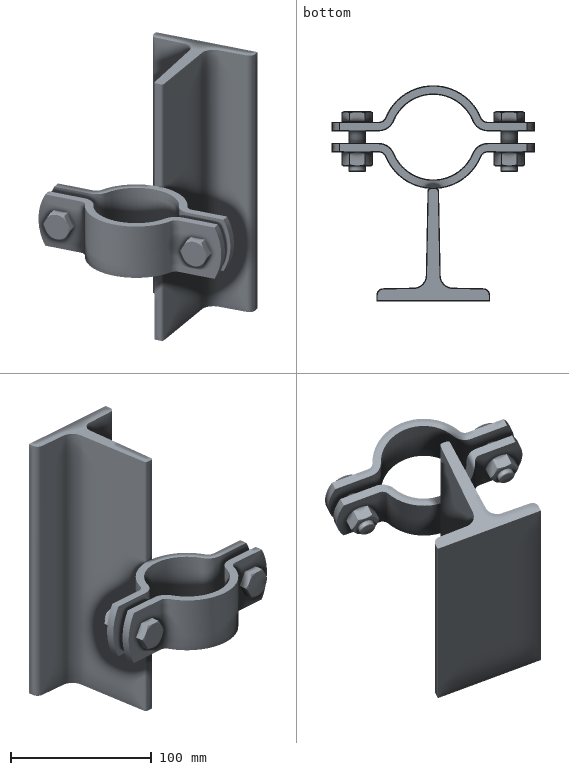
import cadquery as cq
import math

POST_LENGTH = 200.0
POST_WIDTH = 80.0
POST_DEPTH = 80.0
POST_THICKNESS = 9.0
WEB_EMBED = 0.05
POST_TAPER = 0.02
ROOT_RADIUS = 9.0
TOE_RADIUS = ROOT_RADIUS / 2
WEB_TIP_RADIUS = 2.0

STRAP_THICKNESS = 6.0
STRAP_HEIGHT = 40.0
STRAP_HALF_LENGTH = 72.0
STRAP_END_RADIUS = 40.0
CLAMP_GAP = 9.0
CLAMP_OUTER_DIAMETER = 73.0
BEND_DIAMETER = 11.0

BOLT_X = 54.0
BOLT_DIAMETER = 12.0
BOLT_TIP_DIAMETER = 11.0
BOLT_LENGTH = 35.0
HEX_ACROSS_FLATS = 19.0
HEAD_HEIGHT = 7.5
NUT_HEIGHT = 10.0
WASHER_FACE_DIAMETER = 17.2
WASHER_FACE_HEIGHT = 0.5
HEX_CHAMFER_ANGLE = 30.0
HEX_HALF_SECTOR = 30.0

clamp_outer_radius = CLAMP_OUTER_DIAMETER / 2
bend_radius = BEND_DIAMETER / 2
ear_inner_y = CLAMP_GAP / 2
ear_outer_y = ear_inner_y + STRAP_THICKNESS
clamp_inner_radius = clamp_outer_radius - STRAP_THICKNESS
web_tip_y = clamp_outer_radius - WEB_EMBED
post_back_y = clamp_outer_radius + POST_DEPTH


def make_post():
    """Tapered T-section with rounded root, toes and web tip."""
    half_width = POST_WIDTH / 2
    half_web = POST_THICKNESS / 2
    web_tip_x = half_web - POST_TAPER * POST_DEPTH / 2
    toe_y = post_back_y - POST_THICKNESS + POST_TAPER * POST_WIDTH / 4
    root_rise = toe_y - POST_TAPER * half_width - web_tip_y
    root_x = (web_tip_x + POST_TAPER * root_rise) / (1 - POST_TAPER**2)
    root_y = toe_y - POST_TAPER * (half_width - root_x)

    post = (
        cq.Workplane("XY")
        .moveTo(-half_width, post_back_y)
        .lineTo(half_width, post_back_y)
        .lineTo(half_width, toe_y)
        .lineTo(root_x, root_y)
        .lineTo(web_tip_x, web_tip_y)
        .lineTo(-web_tip_x, web_tip_y)
        .lineTo(-root_x, root_y)
        .lineTo(-half_width, toe_y)
        .close()
        .extrude(POST_LENGTH / 2, both=True)
    )
    rounded_edges = [
        (root_x, root_y, ROOT_RADIUS),
        (half_width, toe_y, TOE_RADIUS),
        (web_tip_x, web_tip_y, WEB_TIP_RADIUS),
    ]
    for x, y, radius in rounded_edges:
        for side in (-1, 1):
            edge = cq.selectors.NearestToPointSelector((side * x, y, 0))
            post = post.edges("|Z").edges(edge).fillet(radius)
    return post


def polar(center, radius, angle):
    """Point at a radius and angle (radians) around a center."""
    return center[0] + radius * math.cos(angle), center[1] + radius * math.sin(angle)


def make_strap():
    """The +Y half of the clamp: a half ring with two bent ears."""
    ring_center = (0, 0)
    bend_outer_radius = bend_radius + STRAP_THICKNESS
    bend_y = ear_outer_y + bend_radius
    bend_x = math.sqrt((clamp_outer_radius + bend_radius) ** 2 - bend_y**2)
    bend_center = (bend_x, bend_y)
    top = math.pi / 2
    ring_end = math.atan2(bend_y, bend_x)
    ring_middle = (ring_end + top) / 2
    bend_start = -math.pi / 2
    bend_end = ring_end - math.pi
    bend_middle = (bend_start + bend_end) / 2

    half = (
        cq.Workplane("XY")
        .moveTo(*polar(ring_center, clamp_outer_radius, top))
        .threePointArc(
            polar(ring_center, clamp_outer_radius, ring_middle),
            polar(ring_center, clamp_outer_radius, ring_end),
        )
        .threePointArc(
            polar(bend_center, bend_radius, bend_middle),
            polar(bend_center, bend_radius, bend_start),
        )
        .lineTo(STRAP_HALF_LENGTH, ear_outer_y)
        .lineTo(STRAP_HALF_LENGTH, ear_inner_y)
        .lineTo(bend_x, ear_inner_y)
        .threePointArc(
            polar(bend_center, bend_outer_radius, bend_middle),
            polar(bend_center, bend_outer_radius, bend_end),
        )
        .threePointArc(
            polar(ring_center, clamp_inner_radius, ring_middle),
            polar(ring_center, clamp_inner_radius, top),
        )
        .close()
        .extrude(STRAP_HEIGHT / 2, both=True)
    )
    strap = half.union(half.mirror("YZ")).clean()

    half_height = STRAP_HEIGHT / 2
    end_sag = STRAP_END_RADIUS - math.sqrt(STRAP_END_RADIUS**2 - half_height**2)
    corner_x = STRAP_HALF_LENGTH - end_sag
    plan = (
        cq.Workplane("XZ")
        .moveTo(-corner_x, -half_height)
        .lineTo(corner_x, -half_height)
        .threePointArc((STRAP_HALF_LENGTH, 0), (corner_x, half_height))
        .lineTo(-corner_x, half_height)
        .threePointArc((-STRAP_HALF_LENGTH, 0), (-corner_x, -half_height))
        .close()
        .extrude(clamp_outer_radius, both=True)
    )
    return strap.intersect(plan)


def y_plane(y):
    """Work plane at a given Y, facing +Y."""
    return cq.Workplane("ZX", origin=(0, y, 0))


def make_hexagon(start_y, height, chamfer_low, chamfer_high):
    """Hexagon along +Y with corners on X, its corners turned down at the chosen ends."""
    flat_radius = HEX_ACROSS_FLATS / 2
    corner_radius = flat_radius / math.cos(math.radians(HEX_HALF_SECTOR))
    drop = (corner_radius - flat_radius) * math.tan(math.radians(HEX_CHAMFER_ANGLE))
    low_radius = flat_radius if chamfer_low else corner_radius
    high_radius = flat_radius if chamfer_high else corner_radius
    hexagon = y_plane(start_y).polygon(6, 2 * corner_radius).extrude(height)
    hexagon = hexagon.rotate((0, 0, 0), (0, 1, 0), HEX_HALF_SECTOR)
    envelope = (
        cq.Workplane("XY")
        .moveTo(0, start_y)
        .lineTo(low_radius, start_y)
        .lineTo(corner_radius, start_y + drop)
        .lineTo(corner_radius, start_y + height - drop)
        .lineTo(high_radius, start_y + height)
        .lineTo(0, start_y + height)
        .close()
        .revolve(360, (0, 0, 0), (0, 1, 0))
    )
    return hexagon.intersect(envelope)


def make_bolt():
    """Bolt along the Y axis, with its head on the -Y strap and its nut on the +Y strap."""
    seat_y = -ear_outer_y
    hex_height = HEAD_HEIGHT - WASHER_FACE_HEIGHT
    tip_chamfer = (BOLT_DIAMETER - BOLT_TIP_DIAMETER) / 2
    head = make_hexagon(seat_y - HEAD_HEIGHT, hex_height, True, False)
    washer_face = y_plane(seat_y - WASHER_FACE_HEIGHT).circle(WASHER_FACE_DIAMETER / 2)
    washer_face = washer_face.extrude(WASHER_FACE_HEIGHT)
    shank = y_plane(seat_y).circle(BOLT_DIAMETER / 2).extrude(BOLT_LENGTH)
    shank = shank.faces(">Y").chamfer(tip_chamfer)
    nut = make_hexagon(ear_outer_y, NUT_HEIGHT, True, True)
    return head.union(washer_face).union(shank).union(nut)


strap = make_strap()
bolt = make_bolt()
result = make_post().union(strap).union(strap.mirror("XZ"))
for bolt_x in (-BOLT_X, BOLT_X):
    result = result.union(bolt.translate((bolt_x, 0, 0)))